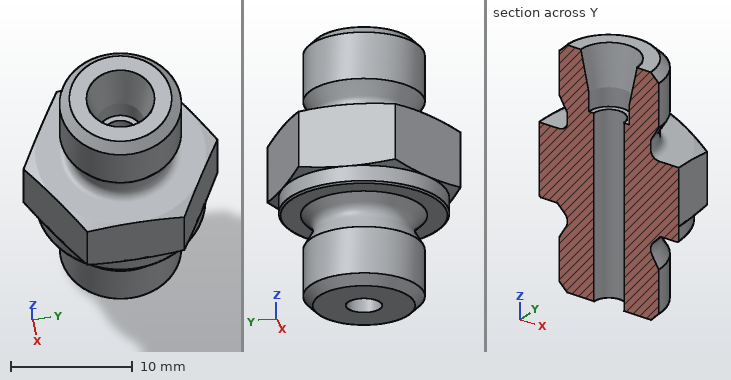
import cadquery as cq
import math

total_length = 23.0
end_length = 8.0
collar_height = 1.52
across_flats = 14.0
collar_edge_chamfer = 0.15
hex_chamfer_angle = 15.0
hex_half_angle = 180 / 6
envelope_margin = 0.23

thread_radius = 10.0 / 2
neck_radius = 8.4 / 2
end_chamfer = 0.8
thread_run_out = 4.92
undercut_angle = 30.0
upper_neck_blend = 0.7
upper_root_fillet = thread_radius - neck_radius
lower_neck_blend = 1.01
collar_cone_angle = 45.0

bore_diameter = 3.0
seat_diameter = 4.0
mouth_diameter = 5.6
taper_half_angle = 12.0
seat_depth = 5.52

body_bottom = end_length
hex_bottom = body_bottom + collar_height
hex_top = total_length - end_length
hex_height = hex_top - hex_bottom
flat_radius = across_flats / 2
corner_radius = flat_radius / math.cos(math.radians(hex_half_angle))


def blend_point(blend_radius, centre_z, angle):
    """Point on a neck blend arc; the angle is measured from the throat, positive upward."""
    turn = math.radians(angle)
    radius = neck_radius + blend_radius * (1 - math.cos(turn))
    return radius, centre_z + blend_radius * math.sin(turn)


def throat_distance(blend_radius):
    """Distance from the end face to the throat of a blend tangent to the undercut cone."""
    angle = math.radians(undercut_angle)
    cone_drop = thread_radius - neck_radius - blend_radius * (1 - math.cos(angle))
    return thread_run_out + cone_drop / math.tan(angle) + blend_radius * math.sin(angle)


def make_lower_end():
    throat_z = throat_distance(lower_neck_blend)
    blend_top = blend_point(lower_neck_blend, throat_z, collar_cone_angle)
    cone_rise = body_bottom - blend_top[1]
    cone_radius = blend_top[0] + cone_rise * math.tan(math.radians(collar_cone_angle))
    return (
        cq.Workplane("XZ")
        .lineTo(thread_radius - end_chamfer, 0)
        .lineTo(thread_radius, end_chamfer)
        .lineTo(thread_radius, thread_run_out)
        .lineTo(*blend_point(lower_neck_blend, throat_z, -undercut_angle))
        .threePointArc((neck_radius, throat_z), blend_top)
        .lineTo(cone_radius, body_bottom)
        .lineTo(0, body_bottom)
        .close()
        .revolve(360, (0, 0), (0, 1))
    )


def make_upper_end():
    throat_z = total_length - throat_distance(upper_neck_blend)
    fillet_top = hex_top + upper_root_fillet
    fillet_offset = upper_root_fillet * (1 - math.sqrt(0.5))
    return (
        cq.Workplane("XZ")
        .moveTo(0, hex_top)
        .lineTo(neck_radius + upper_root_fillet, hex_top)
        .threePointArc(
            (neck_radius + fillet_offset, hex_top + fillet_offset),
            (neck_radius, fillet_top),
        )
        .lineTo(neck_radius, throat_z)
        .threePointArc(
            blend_point(upper_neck_blend, throat_z, undercut_angle / 2),
            blend_point(upper_neck_blend, throat_z, undercut_angle),
        )
        .lineTo(thread_radius, total_length - thread_run_out)
        .lineTo(thread_radius, total_length - end_chamfer)
        .lineTo(thread_radius - end_chamfer, total_length)
        .lineTo(0, total_length)
        .close()
        .revolve(360, (0, 0), (0, 1))
    )


def make_hexagon():
    """Hexagon with corners on the Y axis, its corners chamfered by a revolved envelope."""
    prism = (
        cq.Workplane("XY", origin=(0, 0, hex_bottom))
        .polygon(6, 2 * corner_radius)
        .extrude(hex_height)
        .rotate((0, 0, 0), (0, 0, 1), hex_half_angle)
    )
    envelope_radius = corner_radius + envelope_margin
    chamfer_drop = (envelope_radius - flat_radius) * math.tan(math.radians(hex_chamfer_angle))
    envelope = (
        cq.Workplane("XZ")
        .moveTo(0, hex_bottom)
        .lineTo(flat_radius, hex_bottom)
        .lineTo(envelope_radius, hex_bottom + chamfer_drop)
        .lineTo(envelope_radius, hex_top - chamfer_drop)
        .lineTo(flat_radius, hex_top)
        .lineTo(0, hex_top)
        .close()
        .revolve(360, (0, 0), (0, 1))
    )
    return prism.intersect(envelope)


def make_collar():
    return (
        cq.Workplane("XY", origin=(0, 0, body_bottom))
        .circle(flat_radius)
        .extrude(collar_height)
        .faces("<Z")
        .edges()
        .chamfer(collar_edge_chamfer)
    )


def make_bore():
    """Through bore, opening into a cylindrical seat and a tapered mouth."""
    bore_radius = bore_diameter / 2
    seat_radius = seat_diameter / 2
    mouth_radius = mouth_diameter / 2
    taper_depth = (mouth_radius - seat_radius) / math.tan(math.radians(taper_half_angle))
    return (
        cq.Workplane("XZ")
        .lineTo(bore_radius, 0)
        .lineTo(bore_radius, total_length - seat_depth)
        .lineTo(seat_radius, total_length - seat_depth)
        .lineTo(seat_radius, total_length - taper_depth)
        .lineTo(mouth_radius, total_length)
        .lineTo(0, total_length)
        .close()
        .revolve(360, (0, 0), (0, 1))
    )


result = (
    make_hexagon()
    .union(make_collar())
    .union(make_lower_end())
    .union(make_upper_end())
    .cut(make_bore())
)